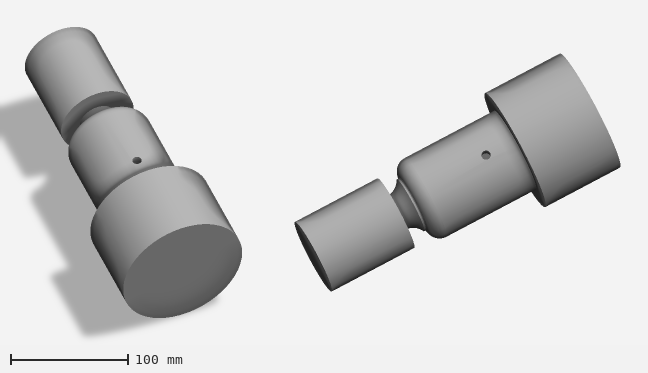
import cadquery as cq
import math

overall_length = 268.22

head_diameter = 67.17
head_length = 80.0
waist_diameter = 32.5
waist_radius = 16.0

collar_diameter = 50.0
shank_diameter = 52.0
cone_length = 0.8

sleeve_diameter = 76.0
nose_front_x = 96.8
oil_hole_diameter = 8.0
oil_hole_x = 167.6
oil_hole_depth = 10.0
base_diameter = 110.0
base_length = 72.5

waist_rise = (collar_diameter - waist_diameter) / 2
waist_sweep = math.acos(1 - waist_rise / waist_radius)
collar_x = head_length + waist_radius * math.sin(waist_sweep)

sleeve_wall = (sleeve_diameter - shank_diameter) / 2
nose_radius = sleeve_wall
base_front_x = overall_length - base_length


def waist_point(angle):
    """Point on the waist's arc, at an angle from its narrowest place."""
    return (
        head_length + waist_radius * math.sin(angle),
        waist_diameter / 2 + waist_radius * (1 - math.cos(angle)),
    )


def turn(profile):
    """Solid of revolution of a closed profile about the X axis."""
    return profile.close().revolve(360, (0, 0, 0), (1, 0, 0))


def make_stud():
    profile = (
        cq.Workplane("XY")
        .lineTo(0, head_diameter / 2)
        .lineTo(head_length, head_diameter / 2)
        .lineTo(head_length, waist_diameter / 2)
        .threePointArc(waist_point(waist_sweep / 2), waist_point(waist_sweep))
        .lineTo(collar_x, 0)
    )
    return turn(profile)


def make_plug():
    profile = (
        cq.Workplane("XY")
        .moveTo(collar_x, 0)
        .lineTo(collar_x, collar_diameter / 2)
        .lineTo(nose_front_x - cone_length, collar_diameter / 2)
        .lineTo(nose_front_x, shank_diameter / 2)
        .lineTo(base_front_x, shank_diameter / 2)
        .lineTo(base_front_x, 0)
    )
    return turn(profile)


def make_housing():
    profile = (
        cq.Workplane("XY")
        .moveTo(base_front_x, 0)
        .lineTo(base_front_x, shank_diameter / 2)
        .lineTo(nose_front_x, shank_diameter / 2)
        .radiusArc((nose_front_x + nose_radius, sleeve_diameter / 2), nose_radius)
        .lineTo(base_front_x, sleeve_diameter / 2)
        .lineTo(base_front_x, base_diameter / 2)
        .lineTo(overall_length, base_diameter / 2)
        .lineTo(overall_length, 0)
    )
    return turn(profile).cut(make_oil_hole())


def make_oil_hole():
    """Flat-bottomed blind hole in the top of the sleeve."""
    return (
        cq.Workplane("XY", origin=(0, 0, sleeve_diameter / 2 - oil_hole_depth))
        .center(oil_hole_x, 0)
        .circle(oil_hole_diameter / 2)
        .extrude(oil_hole_depth)
    )


stud = make_stud()
plug = make_plug()
housing = make_housing()

result = cq.Compound.makeCompound([stud.val(), plug.val(), housing.val()])